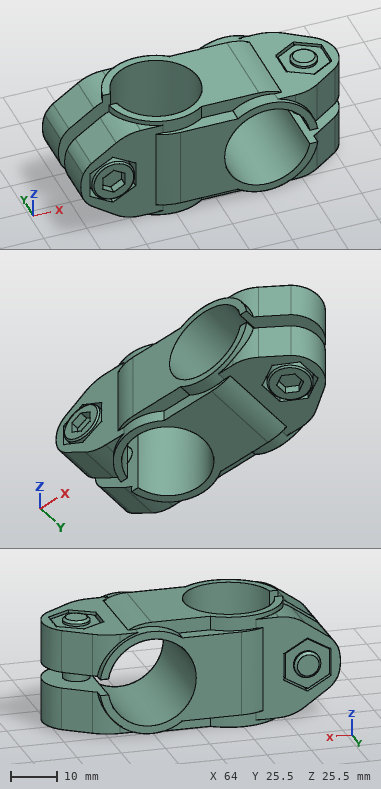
import cadquery as cq
import math


length = 64.0
body_center_x = 0.45
bore_offset = 10.5

body_depth = 25.5
bore_diameter = 20.0
ring_diameter = 23.6
neck_height = 19.2
neck_flat_end = -9.7
neck_end = -15.0

jaw_height = 22.9
jaw_width = 23.3
shoulder_radius = 10.0
taper_angle = math.radians(35)
tip_radius = 7.7
tip_corner_angle = math.radians(49)
blunt_tip_radius = 10.0
slot_width = 3.65

shank_diameter = 6.0
shank_chamfer = 0.6
head_diameter = 10.0
head_chamfer = 0.4
bolt_protrusion = 0.6
socket_flats = 5.1
socket_depth = 2.0
pocket_flats = 10.6
pocket_depth = 4.0
nut_flats = 10.0
nut_recess = 0.5
nut_shift = 0.1

bolt_x_plain = length / 2 - body_center_x - tip_radius
bolt_x_blunt = 24.95
tip_x_blunt = length / 2 + body_center_x


def hexagon(flats, depth):
    """Hexagonal prism standing on Z = 0 with two flats facing +-X."""
    corners = flats / math.cos(math.pi / 6)
    return cq.Workplane("XY").polygon(6, corners).extrude(depth).rotate((0, 0, 0), (0, 0, 1), 30)


def cylinder_along_y(x, diameter, width):
    return cq.Workplane("XZ").center(x, 0).circle(diameter / 2).extrude(width / 2, both=True)


def make_neck():
    """Slab running from the ring to the other clamp, its far end ramped by tangent arcs."""
    half_depth = body_depth / 2
    end_half_depth = jaw_height / 2
    run = neck_flat_end - neck_end
    drop = half_depth - end_half_depth
    ramp_radius = (run**2 + drop**2) / (2 * drop)
    ramp_mid_drop = ramp_radius - math.sqrt(ramp_radius**2 - (run / 2) ** 2)
    ramp_mid = (neck_flat_end - run / 2, half_depth - ramp_mid_drop)
    return (
        cq.Workplane("XY")
        .moveTo(bore_offset, -half_depth)
        .lineTo(bore_offset, half_depth)
        .lineTo(neck_flat_end, half_depth)
        .threePointArc(ramp_mid, (neck_end, end_half_depth))
        .lineTo(neck_end, -end_half_depth)
        .threePointArc((ramp_mid[0], -ramp_mid[1]), (neck_flat_end, -half_depth))
        .close()
        .extrude(neck_height / 2, both=True)
    )


def make_jaw(bolt_x):
    """Tapered jaw: round shoulders, straight tapers and a round tip about the bolt axis."""
    half_width = jaw_width / 2
    tip_x = bolt_x + tip_radius * math.cos(tip_corner_angle)
    tip_y = tip_radius * math.sin(tip_corner_angle)
    taper_y = half_width - shoulder_radius * (1 - math.cos(taper_angle))
    taper_x = tip_x - (taper_y - tip_y) / math.tan(taper_angle)
    flat_x = taper_x - shoulder_radius * math.sin(taper_angle)
    mid_x = flat_x + shoulder_radius * math.sin(taper_angle / 2)
    mid_y = half_width - shoulder_radius * (1 - math.cos(taper_angle / 2))
    root_x = bore_offset + math.sqrt(ring_diameter**2 - jaw_height**2) / 2
    return (
        cq.Workplane("XY")
        .moveTo(root_x, -half_width)
        .lineTo(flat_x, -half_width)
        .threePointArc((mid_x, -mid_y), (taper_x, -taper_y))
        .lineTo(tip_x, -tip_y)
        .threePointArc((bolt_x + tip_radius, 0), (tip_x, tip_y))
        .lineTo(taper_x, taper_y)
        .threePointArc((mid_x, mid_y), (flat_x, half_width))
        .lineTo(root_x, half_width)
        .close()
        .extrude(jaw_height / 2, both=True)
    )


def blunt_jaw(jaw, bolt_x, tip_x):
    """Trim the jaw beyond the bolt axis with a flatter round that ends at tip_x."""
    root = cq.Workplane("XY").box(2 * bolt_x, body_depth, body_depth)
    tip = (
        cq.Workplane("XY")
        .center(tip_x - blunt_tip_radius, 0)
        .circle(blunt_tip_radius)
        .extrude(body_depth / 2, both=True)
    )
    return jaw.intersect(root.union(tip))


def make_bolt():
    """Bolt on the Z axis, socket head down, with the nut at the upper end."""
    half_height = jaw_height / 2
    half_length = half_height + bolt_protrusion
    shank = (
        cq.Workplane("XY", origin=(0, 0, -half_length + socket_depth))
        .circle(shank_diameter / 2)
        .extrude(2 * half_length - socket_depth)
        .faces(">Z")
        .chamfer(shank_chamfer)
    )
    head = (
        cq.Workplane("XY", origin=(0, 0, -half_length))
        .circle(head_diameter / 2)
        .extrude(pocket_depth + bolt_protrusion)
        .faces("<Z")
        .chamfer(head_chamfer)
        .cut(hexagon(socket_flats, socket_depth).translate((0, 0, -half_length)))
    )
    nut = hexagon(nut_flats, pocket_depth - nut_recess)
    nut = nut.translate((nut_shift, 0, half_height - pocket_depth))
    return shank.union(head).union(nut)


def cut_openings(body, bolt_x):
    """Cut the bore, the clamping slot and the hexagonal pockets for head and nut."""
    bore = cylinder_along_y(bore_offset, bore_diameter, 2 * body_depth)
    slot = cq.Workplane("XY").box(length, 2 * body_depth, slot_width)
    slot = slot.translate((bore_offset + length / 2, 0, 0))
    body = body.cut(bore).cut(slot)
    pocket = hexagon(pocket_flats, pocket_depth)
    for bottom in (-jaw_height / 2, jaw_height / 2 - pocket_depth):
        body = body.cut(pocket.translate((bolt_x, 0, bottom)))
    return body


def turn_to_second_clamp(shape):
    """Half turn that reverses X and exchanges Y with Z."""
    return shape.rotate((0, 0, 0), (0, 1, 1), 180)


ring_and_neck = cylinder_along_y(bore_offset, ring_diameter, body_depth).union(make_neck())
plain_clamp = ring_and_neck.union(make_jaw(bolt_x_plain))
blunt_clamp = ring_and_neck.union(blunt_jaw(make_jaw(bolt_x_blunt), bolt_x_blunt, tip_x_blunt))

body = turn_to_second_clamp(plain_clamp.union(turn_to_second_clamp(blunt_clamp)))
body = turn_to_second_clamp(cut_openings(body, bolt_x_blunt))
body = cut_openings(body, bolt_x_plain)

bolt = make_bolt()
body = body.union(bolt.translate((bolt_x_plain, 0, 0)))
body = body.union(turn_to_second_clamp(bolt.translate((bolt_x_blunt, 0, 0))))

result = body.translate((body_center_x, 0, 0))